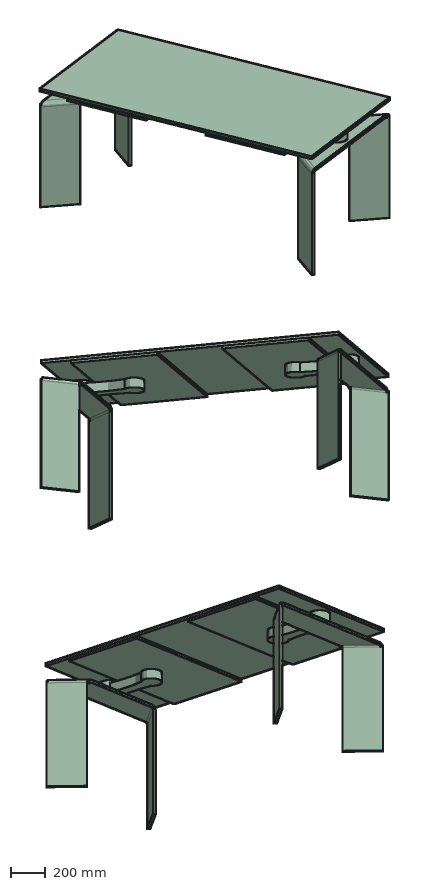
import cadquery as cq
import math

TOTAL_LENGTH = 1820.0
TOTAL_HEIGHT = 759.0

TOP_LENGTH = 1800.0
TOP_WIDTH = 900.0
TOP_THICKNESS = 18.0
LEAF_LENGTH = 522.0
LEAF_THICKNESS = 16.0
LEAF_OUTER_X = 719.0

FRAME_TOP_Z = 665.0
FRAME_WIDTH = 890.0
PLATE_THICKNESS = 17.3
LEG_WIDTH = 233.0
LEG_ANGLE = 40.0
BEND_OUTER_RADIUS = 27.0
BEND_INNER_RADIUS = BEND_OUTER_RADIUS - PLATE_THICKNESS

COLUMN_X = 810.0
BOSS_X = 490.0
PIVOT_RADIUS = 60.0
LINK_END_OFFSET = 42.0
LINK_WAIST = 70.0

top_bottom_z = TOTAL_HEIGHT - TOP_THICKNESS
leaf_bottom_z = top_bottom_z - LEAF_THICKNESS
bridge_bottom_z = FRAME_TOP_Z - PLATE_THICKNESS
leg_cos = math.cos(math.radians(LEG_ANGLE))
leg_sin = math.sin(math.radians(LEG_ANGLE))


def make_tabletop():
    slab = cq.Workplane("XY").box(TOP_LENGTH, TOP_WIDTH, TOP_THICKNESS, centered=(True, True, False))
    return slab.translate((0, 0, top_bottom_z))


def make_leaf():
    """Extension leaf at the -X end, flat against the tabletop."""
    slab = cq.Workplane("XY").box(LEAF_LENGTH, TOP_WIDTH, LEAF_THICKNESS, centered=(False, True, False))
    return slab.translate((-LEAF_OUTER_X, 0, leaf_bottom_z))


def make_leg_frame():
    """Leg frame at the -X end, with its bends rounded inside and outside."""
    outer_tip = (-TOTAL_LENGTH / 2 + PLATE_THICKNESS * leg_sin, -FRAME_WIDTH / 2)
    outer_end = (outer_tip[0] + LEG_WIDTH * leg_cos, outer_tip[1] + LEG_WIDTH * leg_sin)
    inner_shift = (-PLATE_THICKNESS * leg_sin, PLATE_THICKNESS * leg_cos)
    inner_end = (outer_end[0] + inner_shift[0], outer_end[1] + inner_shift[1])
    inner_tip = (outer_tip[0] + inner_shift[0], outer_tip[1] + inner_shift[1])

    leg = (
        cq.Workplane("XY")
        .polyline([outer_tip, outer_end, inner_end, inner_tip])
        .close()
        .extrude(bridge_bottom_z)
    )
    bridge = (
        cq.Workplane("XY")
        .workplane(offset=bridge_bottom_z)
        .polyline([
            outer_tip,
            outer_end,
            (outer_end[0], -outer_end[1]),
            (outer_tip[0], -outer_tip[1]),
        ])
        .close()
        .extrude(PLATE_THICKNESS)
    )
    bend_plane = cq.Plane(
        origin=(outer_tip[0], outer_tip[1], FRAME_TOP_Z),
        xDir=(-leg_sin, leg_cos, 0),
        normal=(leg_cos, leg_sin, 0),
    )
    waste = make_corner_strip(bend_plane, BEND_OUTER_RADIUS, 0)
    filling = make_corner_strip(bend_plane, BEND_INNER_RADIUS, PLATE_THICKNESS)
    filling = filling.intersect(bridge.translate((0, 0, -PLATE_THICKNESS)))

    half_block = cq.Workplane("XY").box(TOTAL_LENGTH, FRAME_WIDTH, TOTAL_HEIGHT, centered=(True, False, False))
    half_block = half_block.translate((0, -FRAME_WIDTH, 0))
    half_frame = bridge.intersect(half_block).union(leg).cut(waste).union(filling)
    return half_frame.union(half_frame.mirror("XZ")).clean()


def make_corner_strip(plane, radius, depth):
    """Strip between a sharp right-angled corner and its rounding, starting depth inside both faces."""
    mid_arc = depth + radius * (1 - math.sqrt(0.5))
    return (
        cq.Workplane(plane)
        .workplane(offset=-LEG_WIDTH / 2)
        .moveTo(depth, -depth)
        .lineTo(depth + radius, -depth)
        .threePointArc((mid_arc, -mid_arc), (depth, -depth - radius))
        .close()
        .extrude(2 * LEG_WIDTH)
    )


def make_pivot_arm():
    """Pivot arm at the -X end, resting on the leg frame and carrying the tabletop and leaf."""
    base = cq.Workplane("XY").workplane(offset=FRAME_TOP_Z)
    column = base.center(-COLUMN_X, 0).circle(PIVOT_RADIUS).extrude(top_bottom_z - FRAME_TOP_Z)
    arm_height = leaf_bottom_z - FRAME_TOP_Z
    boss = base.center(-BOSS_X, 0).circle(PIVOT_RADIUS).extrude(arm_height)

    link_start_x = -COLUMN_X + LINK_END_OFFSET
    link_end_x = -BOSS_X - LINK_END_OFFSET
    link_middle_x = (link_start_x + link_end_x) / 2
    link_corner_y = math.sqrt(PIVOT_RADIUS**2 - LINK_END_OFFSET**2)
    link = (
        base.moveTo(-COLUMN_X, 0)
        .lineTo(link_start_x, -link_corner_y)
        .threePointArc((link_middle_x, -LINK_WAIST / 2), (link_end_x, -link_corner_y))
        .lineTo(-BOSS_X, 0)
        .lineTo(link_end_x, link_corner_y)
        .threePointArc((link_middle_x, LINK_WAIST / 2), (link_start_x, link_corner_y))
        .close()
        .extrude(arm_height)
    )
    return column.union(boss).union(link)


bodies = [make_tabletop().val()]
for make_body in (make_leaf, make_leg_frame, make_pivot_arm):
    for turn in (0, 180):
        bodies.append(make_body().rotate((0, 0, 0), (0, 0, 1), turn).val())

result = cq.Compound.makeCompound(bodies)